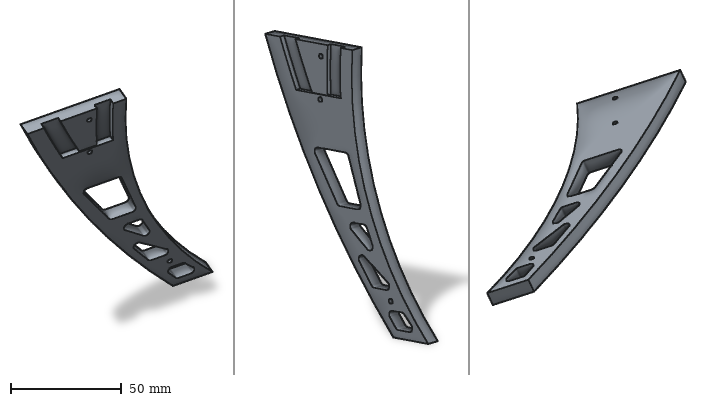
import cadquery as cq
import math

THICKNESS = 7.0
HEIGHT = 130.0
FOOT_BACK = 93.6
FOOT_WIDTH = 20.0
HEAD_WIDTH = 50.0

BACK_RADIUS = 180.0
FRONT_RADIUS = 430.3

WINDOW_CORNER_RADIUS = 2.0
WINDOWS = [
    [(26.9, 81.8), (47.3, 81.8), (55.5, 56.4), (41.9, 56.4)],
    [(45.4, 49.9), (57.7, 49.9), (65.0, 33.4)],
    [(47.3, 42.2), (75.1, 21.5), (61.6, 21.5)],
    [(69.2, 12.4), (79.2, 12.4), (86.8, 3.9), (75.5, 3.9)],
]

PIN_DIAMETER = 2.2
HEAD_PIN_Y = 31.6
HEAD_PIN_TOP_Z = 124.3
HEAD_PIN_SPACING = 20.0
FOOT_PIN = (72.0, 16.6)

CHANNEL_DEPTH = 3.0
CHANNEL_WIDTH = 7.9
BACK_WALL = 6.6
FRONT_WALL = 8.0
CHANNEL_FLOOR_Z = 106.6
ISLAND_DROP = 0.5


def arc_center(top_y, bottom_y, radius):
    """Centre, on the +Y side, of an arc from the top edge to the bottom edge."""
    run = bottom_y - top_y
    chord = math.hypot(run, HEIGHT)
    reach = math.sqrt(radius**2 - (chord / 2) ** 2)
    center_y = (top_y + bottom_y) / 2 + reach * HEIGHT / chord
    center_z = HEIGHT / 2 + reach * run / chord
    return center_y, center_z


BACK_CENTER = arc_center(HEAD_WIDTH, FOOT_BACK, BACK_RADIUS)
FRONT_CENTER = arc_center(0, FOOT_BACK - FOOT_WIDTH, FRONT_RADIUS)


def disc(center, radius):
    return cq.Workplane("YZ").center(*center).circle(radius).extrude(THICKNESS)


def arm_section(back_inset=0.0, front_inset=0.0, floor_z=0.0):
    """Full-thickness arm above floor_z, set in from its two curved edges."""
    block = cq.Workplane("XY").box(THICKNESS, FOOT_BACK, HEIGHT - floor_z, centered=False)
    block = block.translate((0, 0, floor_z))
    block = block.intersect(disc(FRONT_CENTER, FRONT_RADIUS - front_inset))
    return block.cut(disc(BACK_CENTER, BACK_RADIUS + back_inset))


def window(corners):
    prism = cq.Workplane("YZ").polyline(corners).close().extrude(THICKNESS)
    return prism.edges("|X").fillet(WINDOW_CORNER_RADIUS)


def channels():
    """Material removed from the +X face: both channels and the skim over the island."""
    pocket = arm_section(BACK_WALL, FRONT_WALL, CHANNEL_FLOOR_Z)
    pocket = pocket.translate((THICKNESS - CHANNEL_DEPTH, 0, 0))
    island = arm_section(
        BACK_WALL + CHANNEL_WIDTH,
        FRONT_WALL + CHANNEL_WIDTH,
        CHANNEL_FLOOR_Z,
    )
    return pocket.cut(island.translate((-ISLAND_DROP, 0, 0)))


arm = arm_section().cut(channels())

for corners in WINDOWS:
    arm = arm.cut(window(corners))

head_pins = [(HEAD_PIN_Y, HEAD_PIN_TOP_Z - i * HEAD_PIN_SPACING) for i in range(2)]
for pin in head_pins + [FOOT_PIN]:
    arm = arm.cut(disc(pin, PIN_DIAMETER / 2))

result = arm